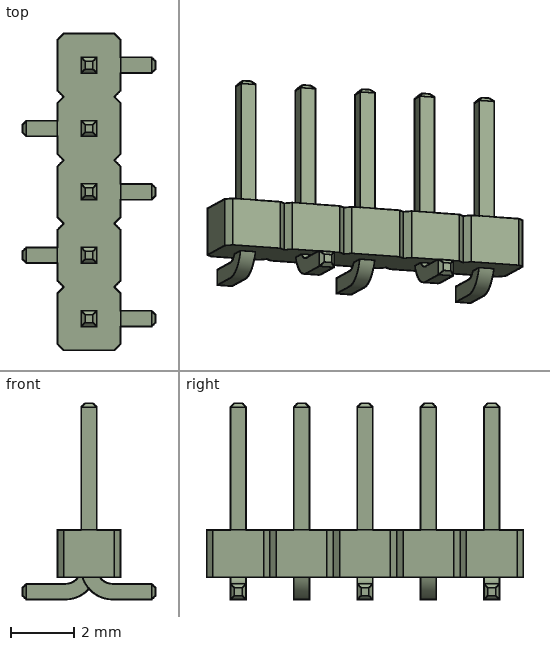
import cadquery as cq

pin_count = 5
pitch = 2.0
housing_width = 2.0
housing_height = 1.5
corner_chamfer = 0.2

pin_size = 0.5
tip_chamfer = pin_size / 4
pin_above_housing = 4.0
standoff = 0.7
foot_reach = 2.1
bend_inner_radius = 0.5

housing_length = pin_count * pitch
housing_bottom = 0.0
foot_bottom = housing_bottom - standoff
pin_top = housing_bottom + housing_height + pin_above_housing
bend_outer_radius = bend_inner_radius + pin_size


def pin_y(index):
    """Y position of a pin, counted from the -Y end of the row."""
    return (index - (pin_count - 1) / 2) * pitch


def make_housing():
    """Row of square blocks whose chamfered corners leave V notches between the pins."""
    block = (
        cq.Workplane("XY")
        .box(housing_width, pitch, housing_height, centered=(True, True, False))
        .edges("|Z")
        .chamfer(corner_chamfer)
        .translate((0, 0, housing_bottom))
    )
    housing = block.translate((0, pin_y(0), 0))
    for index in range(1, pin_count):
        housing = housing.union(block.translate((0, pin_y(index), 0)))
    return housing


def make_pin():
    """Bent square pin, upright on the Z axis with its foot pointing to +X."""
    half = pin_size / 2
    foot_top = foot_bottom + pin_size
    bend_x = bend_outer_radius - half
    bend_z = foot_bottom + bend_outer_radius
    profile = (
        cq.Workplane("XZ")
        .moveTo(-half, pin_top)
        .lineTo(-half, bend_z)
        .radiusArc((bend_x, foot_bottom), -bend_outer_radius)
        .lineTo(foot_reach, foot_bottom)
        .lineTo(foot_reach, foot_top)
        .lineTo(bend_x, foot_top)
        .radiusArc((half, bend_z), bend_inner_radius)
        .lineTo(half, pin_top)
        .close()
    )
    pin = profile.extrude(half, both=True)
    pin = pin.faces(">Z").chamfer(tip_chamfer)
    return pin.faces(">X").chamfer(tip_chamfer)


pin_foot_right = make_pin()
pin_foot_left = pin_foot_right.rotate((0, 0, 0), (0, 0, 1), 180)

header = make_housing()
for pin_index in range(pin_count):
    pin = pin_foot_right if pin_index % 2 == 0 else pin_foot_left
    header = header.union(pin.translate((0, pin_y(pin_index), 0)))

result = cq.Workplane("XY").newObject([header.clean().solids().val()])